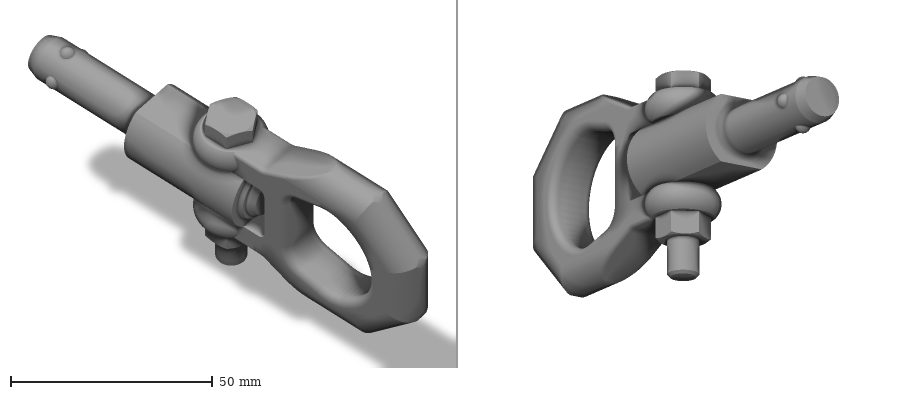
import cadquery as cq
import math


overall_length = 123.5
overall_height = 55.7

tip_x = -61.6
tip_radius = 5.1
tip_length = 3.0
shaft_radius = 6.0
housing_front_x = -25.8
housing_rear_x = 9.1
housing_diameter = 21.4
housing_radius = housing_diameter / 2
flat_half_height = 8.8
neck_fillet = 1.5
rear_cone_base_radius = 8.5
rear_cone_top_radius = 7.8
rear_cone_length = 1.1
button_radius = 6.7
button_face_radius = 5.5
button_step_length = 0.7
button_taper_length = 1.5

ball_radius = 2.0
ball_reach = 7.3
ball_x = tip_x + 8.5
ball_count = 4

thickness = 12.2
rim_radius = thickness / 2
arm_half_height = 15.8
ring_apothem = 24.5
ring_x = overall_length + tip_x - ring_apothem
taper_start_x = 15.0
taper_end_x = 33.1
outline_fillet = 4.0
edge_fillet = 1.0
slot_end_x = 15.8
slot_corner_radius = 2.0

opening_left_x = 22.6
flat_side_half_height = 7.9
corner_radius = 5.2
main_arc_x = 34.1
main_arc_radius = 15.4
shoulder_radius = 9.6
shoulder_angle = 20
opening_fillet = 2.0

eye_radius = 9.5
eye_face_radius = 7.8
bolt_diameter = 8.0
bolt_end_z = ring_apothem - overall_height
bolt_chamfer = 0.7
hex_across_flats = 12.0
head_height = 4.8
nut_height = 5.9
hex_chamfer_angle = 30

eye_middle_z = (flat_half_height + arm_half_height) / 2


def make_pin():
    """Shaft, housing with two flats, rear button and balls, with a cross hole for the bolt."""
    rear_step_x = housing_rear_x + rear_cone_length
    button_edge_x = rear_step_x + button_step_length
    button_face_x = button_edge_x + button_taper_length
    spindle_profile = (
        cq.Workplane("XZ")
        .moveTo(tip_x, 0)
        .lineTo(tip_x, tip_radius)
        .lineTo(tip_x + tip_length, shaft_radius)
        .lineTo(housing_front_x - neck_fillet, shaft_radius)
        .radiusArc((housing_front_x, shaft_radius + neck_fillet), -neck_fillet)
        .lineTo(housing_rear_x, shaft_radius + neck_fillet)
        .lineTo(housing_rear_x, rear_cone_base_radius)
        .lineTo(rear_step_x, rear_cone_top_radius)
        .lineTo(rear_step_x, button_radius)
        .lineTo(button_edge_x, button_radius)
        .lineTo(button_face_x, button_face_radius)
        .lineTo(button_face_x, 0)
        .close()
    )
    spindle = spindle_profile.revolve(360, (0, 0, 0), (1, 0, 0))

    housing_length = housing_rear_x - housing_front_x
    housing = (
        cq.Workplane("YZ", origin=(housing_front_x, 0, 0))
        .circle(housing_radius)
        .extrude(housing_length)
    )
    flats = (
        cq.Workplane("YZ", origin=(housing_front_x, 0, 0))
        .rect(2 * housing_radius, 2 * flat_half_height)
        .extrude(housing_length)
    )
    pin = spindle.union(housing.intersect(flats))

    for index in range(ball_count):
        ball = cq.Workplane("XY").sphere(ball_radius).translate((ball_x, 0, ball_reach - ball_radius))
        pin = pin.union(ball.rotate((0, 0, 0), (1, 0, 0), index * 360 / ball_count))

    bolt_hole = cq.Workplane("XY").circle(bolt_diameter / 2).extrude(housing_radius, both=True)
    return pin.cut(bolt_hole)


def rounded_slab(angle):
    """Long slab whose far edge is a half round, facing `angle` degrees above +X from the ring centre."""
    reach = 3 * ring_apothem
    straight_end = ring_apothem - rim_radius
    slab = (
        cq.Workplane("XY")
        .moveTo(-reach, -rim_radius)
        .lineTo(straight_end, -rim_radius)
        .threePointArc((ring_apothem, 0), (straight_end, rim_radius))
        .lineTo(-reach, rim_radius)
        .close()
        .extrude(reach, both=True)
    )
    return slab.rotate((0, 0, 0), (0, 1, 0), -angle).translate((ring_x, 0, 0))


def mirrored(point):
    """The same point on the other side of the pin axis."""
    return (point[0], -point[1])


def make_shackle_frame():
    """Tapered plate with rounded outline corners and a half-round rim on the ring."""
    ring_end_x = ring_x + ring_apothem
    half_side = ring_apothem * math.tan(math.pi / 8)
    upper_outline = [
        (0, arm_half_height),
        (taper_start_x, arm_half_height),
        (taper_end_x, ring_apothem),
        (ring_x + half_side, ring_apothem),
        (ring_end_x, half_side),
    ]
    lower_outline = [mirrored(point) for point in reversed(upper_outline)]
    frame = (
        cq.Workplane("XZ")
        .polyline(upper_outline + lower_outline)
        .close()
        .extrude(rim_radius, both=True)
        .edges("|Y and (not <X)")
        .fillet(outline_fillet)
    )
    for angle in (-90, -45, 0, 45, 90):
        frame = frame.intersect(rounded_slab(angle))
    return frame


def soften_edges(frame):
    """Round the front and back edges along the arms and the tapers."""
    upper_edges = cq.selectors.BoxSelector(
        (edge_fillet, -thickness, flat_half_height), (taper_end_x - edge_fillet, thickness, ring_apothem)
    )
    lower_edges = cq.selectors.BoxSelector(
        (edge_fillet, -thickness, -flat_half_height), (taper_end_x - edge_fillet, thickness, -ring_apothem)
    )
    return frame.edges(upper_edges + lower_edges).edges("not |Y").fillet(edge_fillet)


def on_circle(centre, radius, angle):
    """Point on a circle, with the angle in radians from +X toward +Z."""
    return (centre[0] + radius * math.cos(angle), centre[1] + radius * math.sin(angle))


def make_opening():
    """Cutter for the ring opening; each stretch runs tangent into the next."""
    corner = (opening_left_x + corner_radius, flat_side_half_height)
    shoulder_end_angle = math.radians(90 - shoulder_angle)
    shoulder = on_circle((main_arc_x, 0), main_arc_radius - shoulder_radius, shoulder_end_angle)

    spacing_x = shoulder[0] - corner[0]
    spacing_z = shoulder[1] - corner[1]
    centre_line_angle = math.atan2(spacing_z, spacing_x)
    tangent_angle = centre_line_angle + math.acos(
        (corner_radius - shoulder_radius) / math.hypot(spacing_x, spacing_z)
    )

    flat_end = on_circle(corner, corner_radius, math.pi)
    corner_middle = on_circle(corner, corner_radius, (math.pi + tangent_angle) / 2)
    slope_start = on_circle(corner, corner_radius, tangent_angle)
    slope_end = on_circle(shoulder, shoulder_radius, tangent_angle)
    shoulder_middle = on_circle(shoulder, shoulder_radius, (tangent_angle + shoulder_end_angle) / 2)
    shoulder_end = on_circle(shoulder, shoulder_radius, shoulder_end_angle)
    main_arc_middle = on_circle((main_arc_x, 0), main_arc_radius, 0)
    return (
        cq.Workplane("XZ")
        .moveTo(*mirrored(flat_end))
        .lineTo(*flat_end)
        .threePointArc(corner_middle, slope_start)
        .lineTo(*slope_end)
        .threePointArc(shoulder_middle, shoulder_end)
        .threePointArc(main_arc_middle, mirrored(shoulder_end))
        .threePointArc(mirrored(shoulder_middle), mirrored(slope_end))
        .lineTo(*mirrored(slope_start))
        .threePointArc(mirrored(corner_middle), mirrored(flat_end))
        .close()
        .extrude(thickness, both=True)
    )


def cut_opening(frame):
    """Cut the ring opening and round its rim on both faces."""
    pierced = frame.cut(make_opening())
    around_opening = cq.selectors.BoxSelector(
        (opening_left_x - opening_fillet, -thickness, -main_arc_radius - opening_fillet),
        (main_arc_x + main_arc_radius + opening_fillet, thickness, main_arc_radius + opening_fillet),
    )
    return pierced.edges(around_opening).edges("not |Y").fillet(opening_fillet)


def make_slot():
    """Cutter between the arms, as tall as the housing across its flats."""
    return (
        cq.Workplane("XY")
        .box(2 * slot_end_x, 2 * thickness, 2 * flat_half_height)
        .edges("|Y and >X")
        .fillet(slot_corner_radius)
    )


def make_eye():
    """Upper eye: a disc with flat faces and a bulging rim."""
    return (
        cq.Workplane("XZ")
        .moveTo(0, flat_half_height)
        .lineTo(eye_face_radius, flat_half_height)
        .threePointArc((eye_radius, eye_middle_z), (eye_face_radius, arm_half_height))
        .lineTo(0, arm_half_height)
        .close()
        .revolve(360, (0, 0, 0), (0, 1, 0))
    )


def make_hexagon(height):
    """Hexagon standing on XY, corners along X, with its top corners chamfered."""
    corner_reach = hex_across_flats / 2 / math.cos(math.pi / 6)
    chamfer_drop = (corner_reach - hex_across_flats / 2) * math.tan(math.radians(hex_chamfer_angle))
    chamfer_envelope = (
        cq.Workplane("XZ")
        .lineTo(corner_reach, 0)
        .lineTo(corner_reach, height - chamfer_drop)
        .lineTo(hex_across_flats / 2, height)
        .lineTo(0, height)
        .close()
        .revolve(360, (0, 0, 0), (0, 1, 0))
    )
    prism = cq.Workplane("XY").polygon(6, 2 * corner_reach).extrude(height)
    return prism.intersect(chamfer_envelope)


def make_bolt():
    """Bolt shank with its head above the upper eye and its nut below the lower one."""
    shank = (
        cq.Workplane("XY", origin=(0, 0, bolt_end_z))
        .circle(bolt_diameter / 2)
        .extrude(arm_half_height - bolt_end_z)
        .faces("<Z")
        .chamfer(bolt_chamfer)
    )
    head = make_hexagon(head_height).translate((0, 0, arm_half_height))
    nut = make_hexagon(nut_height).rotate((0, 0, 0), (1, 0, 0), 180).translate((0, 0, -arm_half_height))
    return shank.union(head).union(nut)


def make_shackle():
    """Frame with its opening, slot and eyes, joined to the bolt."""
    frame = cut_opening(soften_edges(make_shackle_frame())).cut(make_slot())
    upper_eye = make_eye()
    lower_eye = upper_eye.mirror("XY")
    return frame.union(upper_eye).union(lower_eye).union(make_bolt())


pin = make_pin()
shackle = make_shackle()
result = cq.Compound.makeCompound([pin.val(), shackle.val()])